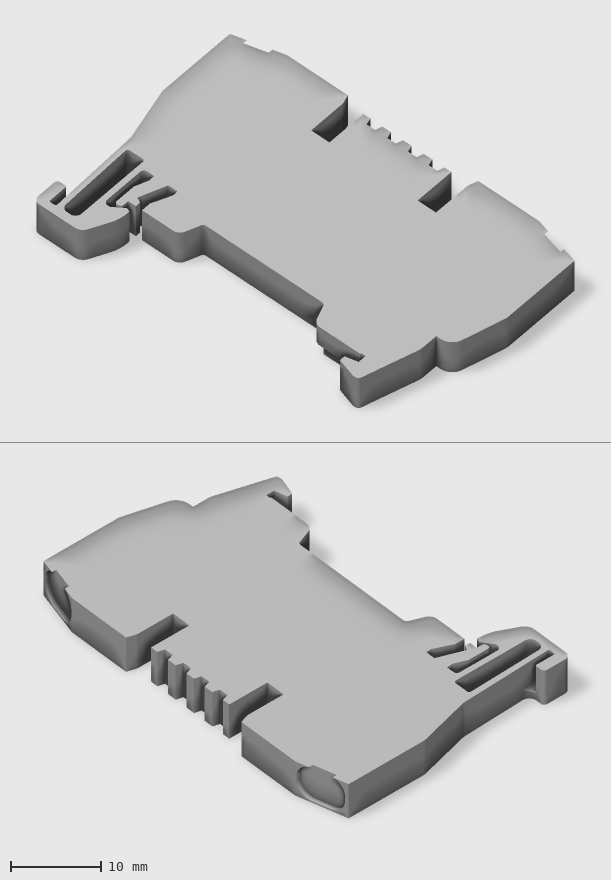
import cadquery as cq
import math

length = 51.0
height = 34.85
thickness = 5.0
half_length = length / 2

shoulder_angle = math.radians(15)
shoulder_inner_x = 18.65
shoulder_drop = (half_length - shoulder_inner_x) * math.tan(shoulder_angle)
slot_outer_x = 9.25
slot_inner_x = 6.55
slot_floor_y = 28.2
slot_lead_in_width = 0.4
slot_lead_in_depth = 1.3
block_top_y = 33.85
notch_count = 4
notch_pitch = 3.05
notch_top_width = 1.8
notch_floor_width = 1.3
notch_depth = 0.9

side_end_y = 21.75
side_end_radius = 2.0

base_y = 6.9
rail_top_y = 9.85
rail_base_x = 10.05
rail_top_x = 8.9
rail_base_radius = 1.15
rail_top_radius = 0.5

leg_top = (-23.55, 14.25)
leg_bottom = (-23.05, 1.05)
lip_top_y = 4.05
lip_inner_x = -24.05
lip_bottom_radius = 0.9
lip_top_radius = 0.45
lip_slot_radius = 0.2
latch_right_x = -16.35
spring_slot_top_y = 11.6
spring_slot_radius = 0.15
finger_right_x = -17.5
finger_left_x = -18.45
finger_tip_y = 5.7
latch_slot_left_x = -19.4
latch_slot_bottom_y = 4.9
window_left_x = (-22.7, -22.35)
window_right_x = -20.15
window_y = (1.15, 12.65)
window_radius = (0.85, 0.3)

foot_top_y = 14.45
foot_outer_x = 21.4
foot_inner_x = 17.5
foot_tip_x = 15.75
foot_bottom_y = 3.95
foot_relief = 0.15
foot_toe_radius = 0.45
foot_tip_radius = 0.15

web_floor_z = 1.0
web_rise_radius = 0.45
web_end_radius = 1.1

marker_x = 21.95
marker_width = 6.2
marker_bottom_z = 0.25
marker_top_z = 5.05
marker_radius = 2.05
marker_depth = 0.6

undercut_height = 1.95
undercut_base_y = 7.5
undercut_left_x = 10.85
undercut_slope_x = 9.2
undercut_right_x = 15.9


def rounded_outline(corners):
    """Closed wire through (x, y, radius) corners; each non-zero radius becomes a tangent arc."""
    trimmed = []
    for i, (x, y, radius) in enumerate(corners):
        here = cq.Vector(x, y)
        if radius == 0:
            trimmed.append((here, here, here))
            continue
        before = cq.Vector(*corners[i - 1][:2])
        after = cq.Vector(*corners[(i + 1) % len(corners)][:2])
        to_before = (before - here).normalized()
        to_after = (after - here).normalized()
        half_angle = to_before.getAngle(to_after) / 2
        tangent = radius / math.tan(half_angle)
        apex = radius / math.sin(half_angle) - radius
        bisector = (to_before + to_after).normalized()
        trimmed.append((here + to_before * tangent, here + bisector * apex, here + to_after * tangent))

    edges = []
    for i, (start, middle, end) in enumerate(trimmed):
        previous_end = trimmed[i - 1][2]
        edges.append(cq.Edge.makeLine(previous_end, start))
        if start is not end:
            edges.append(cq.Edge.makeThreePointArc(start, middle, end))
    return cq.Wire.assembleEdges(edges)


def plate(corners, depth):
    """Solid between Z = 0 and Z = depth with a rounded outline."""
    return cq.Workplane("XY").add(rounded_outline(corners)).toPending().extrude(depth)


def mirrored(corners):
    """The same corners reflected in X = 0, in reverse order."""
    return [(-x, y, radius) for x, y, radius in reversed(corners)]


def notch_corners():
    """Corners of the tapered notches along the top of the centre block, left to right."""
    corners = []
    for i in range(notch_count):
        centre = (i - (notch_count - 1) / 2) * notch_pitch
        corners += [
            (centre - notch_top_width / 2, block_top_y, 0),
            (centre - notch_floor_width / 2, block_top_y - notch_depth, 0),
            (centre + notch_floor_width / 2, block_top_y - notch_depth, 0),
            (centre + notch_top_width / 2, block_top_y, 0),
        ]
    return corners


def body_corners():
    """Outer outline, clockwise from the top of the latch leg."""
    left_top = [
        (-half_length, side_end_y, side_end_radius),
        (-half_length, height - shoulder_drop, 0),
        (-shoulder_inner_x, height, 0),
        (-slot_outer_x - slot_lead_in_width, height, 0),
        (-slot_outer_x, height - slot_lead_in_depth, 0),
        (-slot_outer_x, slot_floor_y, 0),
        (-slot_inner_x, slot_floor_y, 0),
        (-slot_inner_x, block_top_y, 0),
    ]
    right_foot = [
        (23.55, foot_top_y, side_end_radius),
        (foot_outer_x, foot_top_y, 0),
        (foot_outer_x, 11.9, side_end_radius),
        (19.1, foot_bottom_y, foot_toe_radius),
        (18.3, foot_bottom_y, foot_toe_radius),
        (foot_tip_x, 4.7, foot_tip_radius),
        (foot_tip_x, 5.45, foot_tip_radius),
        (foot_inner_x, 5.85, 0),
        (foot_inner_x, base_y + foot_relief, 0),
        (16.95, base_y + foot_relief, 0),
        (16.85, base_y, 0),
    ]
    rail_right = [
        (rail_base_x, base_y, rail_base_radius),
        (rail_top_x, rail_top_y, rail_top_radius),
    ]
    stop_slot = [
        (-15.45, base_y, 0),
        (-15.45, 8.2, 0),
        (-14.35, 10.8, spring_slot_radius),
        (-14.35, spring_slot_top_y, spring_slot_radius),
        (-15.7, spring_slot_top_y, spring_slot_radius),
        (-17.1, 7.95, 0),
        (latch_right_x, 7.6, 0),
        (latch_right_x, base_y, 0),
    ]
    spring_finger = [
        (finger_right_x, base_y, 0),
        (finger_right_x, finger_tip_y, 0.45),
        (finger_left_x, finger_tip_y, 0.3),
        (finger_left_x, 8.9, 0),
        (-17.8, 10.7, 0),
        (-17.8, spring_slot_top_y, 0),
    ]
    latch_slot = [
        (latch_slot_left_x, spring_slot_top_y, 0.45),
        (latch_slot_left_x, latch_slot_bottom_y, 0.6),
        (-18.45, latch_slot_bottom_y, 0.3),
        (-16.95, 6.0, 0.1),
    ]
    latch_hook = [
        (latch_right_x, 5.8, 0),
        (latch_right_x, 4.3, 5.1),
        (-18.45, 0, 1.5),
        (-half_length, 0, lip_bottom_radius),
        (-half_length, lip_top_y, lip_top_radius),
        (lip_inner_x, lip_top_y, 0.15),
        (lip_inner_x, leg_bottom[1], lip_slot_radius),
        (*leg_bottom, lip_slot_radius),
        (*leg_top, 0),
    ]
    latch = stop_slot + spring_finger + latch_slot + latch_hook
    top = left_top + notch_corners() + mirrored(left_top)
    return top + right_foot + rail_right + mirrored(rail_right) + latch


def latch_window():
    """Long through opening that makes the latch leg flexible."""
    bottom_radius, top_radius = window_radius
    return plate(
        [
            (window_left_x[0], window_y[1], top_radius),
            (window_right_x, window_y[1], top_radius),
            (window_right_x, window_y[0], bottom_radius),
            (window_left_x[1], window_y[0], bottom_radius),
        ],
        thickness,
    )


def lip_web():
    """Low web between lip and leg, with a concave outer end and a concave rise up to the leg."""
    leg_lean = (leg_top[0] - leg_bottom[0]) / (leg_top[1] - leg_bottom[1])
    end_y = lip_top_y + web_end_radius
    end_x = leg_bottom[0] + leg_lean * (end_y - leg_bottom[1])
    lip_mid_x = (lip_inner_x - half_length) / 2
    leg_mid_x = (leg_bottom[0] + window_left_x[1]) / 2
    web_bottom_y = leg_bottom[1] / 2
    rise_start_x = end_x - web_rise_radius
    web_top_z = web_floor_z + web_rise_radius
    web = (
        cq.Workplane("XY")
        .moveTo(lip_mid_x, lip_top_y)
        .lineTo(end_x - web_end_radius, lip_top_y)
        .radiusArc((end_x, end_y), -web_end_radius)
        .lineTo(leg_mid_x, lip_top_y)
        .lineTo(leg_mid_x, web_bottom_y)
        .lineTo(lip_mid_x, web_bottom_y)
        .close()
        .extrude(web_top_z)
    )
    above_floor = (
        cq.Workplane("XZ")
        .moveTo(lip_mid_x, web_floor_z)
        .lineTo(rise_start_x, web_floor_z)
        .radiusArc((end_x, web_top_z), -web_rise_radius)
        .lineTo(lip_mid_x, web_top_z)
        .close()
        .extrude(-height)
    )
    return web.cut(above_floor)


def marker_pocket():
    """Cutter for the left marker pocket; its floor runs parallel to the shoulder."""
    left_x = -marker_x - marker_width / 2
    right_x = -marker_x + marker_width / 2
    slope = math.tan(shoulder_angle)
    floor_left_y = height - (-shoulder_inner_x - left_x) * slope - marker_depth
    floor_right_y = floor_left_y + marker_width * slope
    return (
        cq.Workplane("XY")
        .workplane(offset=marker_bottom_z)
        .polyline([(left_x, floor_left_y), (right_x, floor_right_y), (right_x, height), (left_x, height)])
        .close()
        .extrude(marker_top_z - marker_bottom_z)
        .edges("|Y")
        .fillet(marker_radius)
    )


def base_undercut():
    """Cutter that sets the lower part of the right base back from the rail side."""
    return plate(
        [
            (undercut_slope_x, rail_top_y, 0),
            (undercut_left_x, undercut_base_y, 0),
            (undercut_right_x, undercut_base_y, 0),
            (undercut_right_x, base_y, 0),
            (rail_top_x - rail_top_radius, base_y, 0),
            (rail_top_x - rail_top_radius, rail_top_y, 0),
        ],
        undercut_height,
    )


left_marker = marker_pocket()

result = (
    plate(body_corners(), thickness)
    .cut(latch_window())
    .union(lip_web())
    .cut(left_marker)
    .cut(left_marker.mirror("YZ"))
    .cut(base_undercut())
)